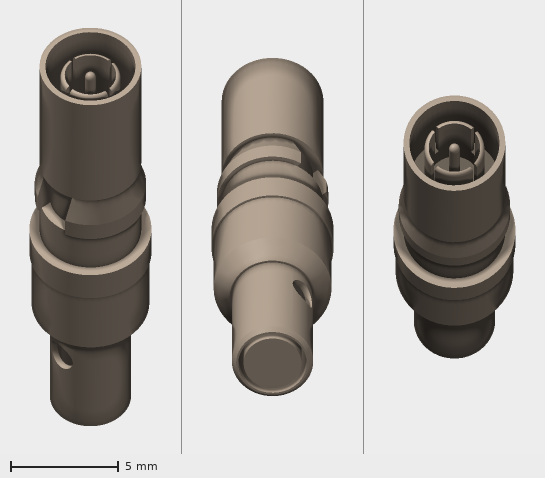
import cadquery as cq

barrel_dia = 3.8
barrel_chamfer = 0.2
barrel_top = 6.0
taper_bottom_dia = 4.0
body_dia = 5.5
body_bottom = 6.85
collar_dia = 5.7
collar_bottom = 10.5
collar_top = 12.15
sleeve_dia = 4.75
total_height = 23.8

groove_dia = 3.8
ring_dia = 5.2
ring_top_dia = 4.3
ring_bottom = 14.45
ring_taper_bottom = 15.45
ring_top = 16.95
ring_gap = 1.95

socket_dia = 4.2
socket_depth = 5.0
socket_floor = total_height - socket_depth
contact_outer_dia = 2.8
contact_inner_dia = 2.4
contact_recess = 0.6
contact_top = total_height - contact_recess
contact_slot_width = 0.25
contact_slot_depth = 3.0
contact_slot_count = 4
pin_dia = 0.5
pin_recess = 0.75
pin_shoulder = total_height - pin_recess

bore_dia = 3.2
bore_core_dia = 2.7
bore_depth = 5.5
inspection_hole_dia = 1.5
inspection_hole_height = 4.5


def cylinder(diameter, bottom, top):
    """Cylinder on the Z axis between two heights."""
    return cq.Workplane("XY").workplane(offset=bottom).circle(diameter / 2).extrude(top - bottom)


def revolved(profile):
    """Solid of revolution about Z from (diameter, height) points, closed along the axis."""
    points = [(diameter / 2, height) for diameter, height in profile]
    points = [(0, points[0][1])] + points + [(0, points[-1][1])]
    return cq.Workplane("XZ").polyline(points).close().revolve(360, (0, 0, 0), (0, 1, 0))


def turned_body():
    """Stepped outer shape with the groove for the snap ring."""
    return revolved([
        (barrel_dia - 2 * barrel_chamfer, 0),
        (barrel_dia, barrel_chamfer),
        (barrel_dia, barrel_top),
        (taper_bottom_dia, barrel_top),
        (body_dia, body_bottom),
        (body_dia, collar_bottom),
        (collar_dia, collar_bottom),
        (collar_dia, collar_top),
        (sleeve_dia, collar_top),
        (sleeve_dia, ring_bottom),
        (groove_dia, ring_bottom),
        (groove_dia, ring_top),
        (sleeve_dia, ring_top),
        (sleeve_dia, total_height),
    ])


def snap_ring():
    """Tapered ring around the groove, open on the -Y side."""
    ring = revolved([
        (ring_dia, ring_bottom),
        (ring_dia, ring_taper_bottom),
        (ring_top_dia, ring_top),
    ])
    ring = ring.cut(cylinder(groove_dia, ring_bottom, ring_top))
    ring_height = ring_top - ring_bottom
    gap = (
        cq.Workplane("XY")
        .box(ring_gap, ring_dia, ring_height, centered=(True, False, False))
        .translate((0, -ring_dia, ring_bottom))
    )
    return ring.cut(gap)


def outer_contact():
    """Slotted tube whose rim is rounded across the whole wall, from the outside up to the bore."""
    outer_radius = contact_outer_dia / 2
    inner_radius = contact_inner_dia / 2
    rim_round = outer_radius - inner_radius
    tube = (
        cq.Workplane("XZ")
        .moveTo(inner_radius, socket_floor)
        .lineTo(outer_radius, socket_floor)
        .lineTo(outer_radius, contact_top - rim_round)
        .radiusArc((inner_radius, contact_top), -rim_round)
        .close()
        .revolve(360, (0, 0, 0), (0, 1, 0))
    )
    slot_bottom = contact_top - contact_slot_depth
    slot = (
        cq.Workplane("XY")
        .box(contact_outer_dia, contact_slot_width, contact_slot_depth, centered=(False, True, False))
        .translate((0, 0, slot_bottom))
    )
    for index in range(contact_slot_count):
        angle = index * 360 / contact_slot_count
        tube = tube.cut(slot.rotate((0, 0, 0), (0, 0, 1), angle))
    return tube


def center_pin():
    """Thin pin with a hemispherical tip."""
    tip = cq.Workplane("XY").sphere(pin_dia / 2).translate((0, 0, pin_shoulder))
    return cylinder(pin_dia, socket_floor, pin_shoulder).union(tip)


def inspection_hole():
    """Radial hole from the -Y side into the barrel."""
    return (
        cq.Workplane("XZ")
        .center(0, inspection_hole_height)
        .circle(inspection_hole_dia / 2)
        .extrude(barrel_dia)
    )


result = turned_body().union(snap_ring())
result = result.cut(cylinder(socket_dia, socket_floor, total_height))
result = result.union(outer_contact()).union(center_pin())

result = result.cut(inspection_hole()).cut(cylinder(bore_dia, 0, bore_depth))
result = result.union(cylinder(bore_core_dia, 0, bore_depth))